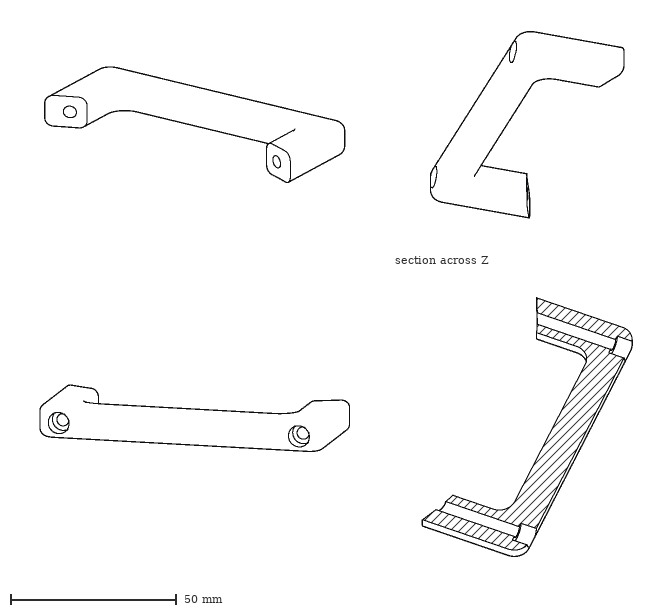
import cadquery as cq

length = 89.0
depth = 33.0
thickness = 10.0

grip_width = 10.0
leg_width = 12.0
corner_radius = 5.0
edge_radius = 2.5

mount_radius = 100.0

hole_diameter = 3.7
head_diameter = 6.5
head_depth = 5.0
hole_inset = 7.0

half_length = length / 2
inner_length = length - 2 * leg_width
leg_depth = depth - grip_width
mount_center_y = -((mount_radius**2 - half_length**2) ** 0.5)


def make_bow():
    """U-shaped handle: foot tips at Y = 0, back of the grip at Y = depth."""
    overrun = corner_radius
    outer = (
        cq.Workplane("XY")
        .box(length, depth + overrun, thickness, centered=(True, False, True))
        .translate((0, -overrun, 0))
        .edges("|Z and >Y")
        .fillet(corner_radius)
    )
    opening = (
        cq.Workplane("XY")
        .box(inner_length, leg_depth + overrun, thickness, centered=(True, False, True))
        .translate((0, -overrun, 0))
        .edges("|Z and >Y")
        .fillet(corner_radius)
    )
    return outer.cut(opening).faces("<Z or >Z").edges("not <Y").fillet(edge_radius)


def make_mount():
    """Cylinder that trims the feet to the curved mounting surface."""
    return (
        cq.Workplane("XY")
        .center(0, mount_center_y)
        .circle(mount_radius)
        .extrude(thickness / 2, both=True)
    )


def make_screw_hole(x):
    """Stepped cutter along Y, entering from the back of the grip."""
    back = cq.Workplane("XZ", origin=(x, depth, 0))
    shank = back.circle(hole_diameter / 2).extrude(depth)
    head = back.circle(head_diameter / 2).extrude(head_depth)
    return shank.union(head)


result = make_bow().cut(make_mount())
for side in (-1, 1):
    result = result.cut(make_screw_hole(side * (half_length - hole_inset)))